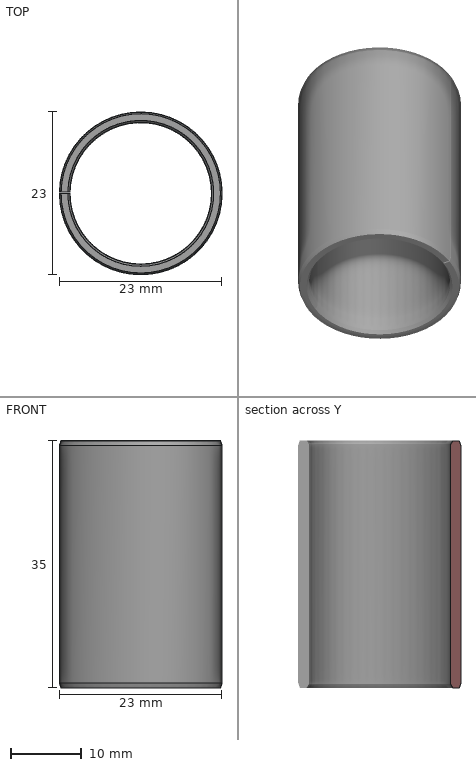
import cadquery as cq

length = 35.0
outer_diameter = 23.0
bore_diameter = 20.0
seam_width = 0.18

outer_chamfer_length = 0.7
outer_chamfer_depth = 0.25
inner_chamfer_length = 0.52
inner_chamfer_depth = 0.3

outer_radius = outer_diameter / 2
bore_radius = bore_diameter / 2


def sleeve():
    """Revolve the chamfered wall section about the Z axis."""
    outer_edge = outer_radius - outer_chamfer_depth
    inner_edge = bore_radius + inner_chamfer_depth
    half_length = length / 2
    wall = (
        cq.Workplane("XZ")
        .moveTo(inner_edge, -half_length)
        .lineTo(outer_edge, -half_length)
        .lineTo(outer_radius, -half_length + outer_chamfer_length)
        .lineTo(outer_radius, half_length - outer_chamfer_length)
        .lineTo(outer_edge, half_length)
        .lineTo(inner_edge, half_length)
        .lineTo(bore_radius, half_length - inner_chamfer_length)
        .lineTo(bore_radius, -half_length + inner_chamfer_length)
        .close()
    )
    return wall.revolve(360, (0, 0, 0), (0, 1, 0))


def seam():
    """Full-length slit through the wall on the -X side, with one face on the XZ plane."""
    slit = cq.Workplane("XY").box(outer_radius, seam_width, length)
    return slit.translate((-outer_radius / 2, seam_width / 2, 0))


result = sleeve().cut(seam())